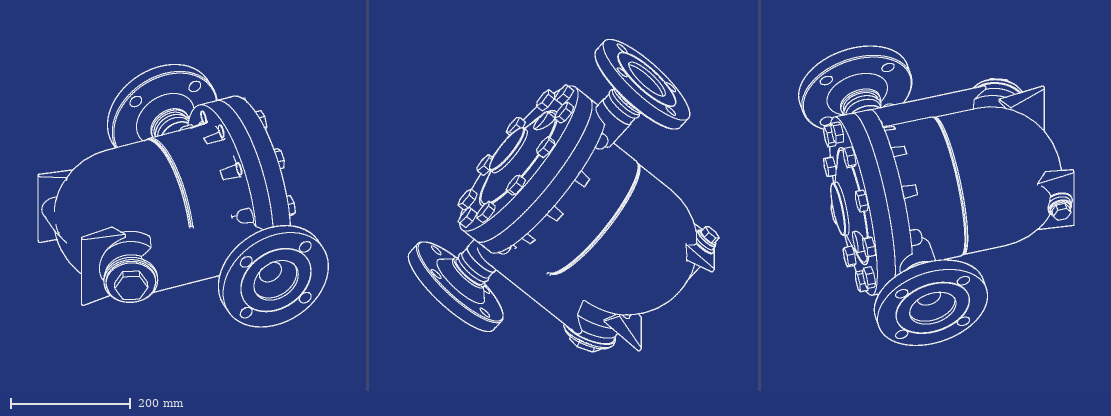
import cadquery as cq
import math


pipe_mid_x = 4.0
pipe_half_length = 252.0
pipe_r = 60.0 / 2
stub_r = 62.0 / 2
stub_end = 175.0
weld_r = 32.5
weld_width = 8.0
weld_end = 189.5
hub_small_r = 34.5
hub_large_r = 52.5
hub_length = 18.5
hub_land = 4.0
raised_face_r = 127.0 / 2
raised_face_height = 1.5
pipe_flange_r = 191.0 / 2
pipe_flange_thickness = 23.0
pipe_flange_chamfer = 2.0
mouth_r = 80.0 / 2
mouth_depth = 6.5
bore_r = 40.0 / 2
bore_cone_end = 24.5
bore_depth = 131.0
pipe_bolt_circle_d = 151.0
pipe_bolt_d = 21.0
pipe_bolt_count = 4

cover_top_y = 70.0
joint_y = 39.0
flange_bottom_y = 8.5
cover_flange_r = 305.0 / 2
lower_flange_r = 152.0
neck_fillet = 4.0
neck_r = 121.0
neck_bottom_y = -17.0
upper_body_r = 119.0
seam_chamfer = 2.5
seam_lip_r = 118.0
seam_y = -93.0
seam_width = 3.0
seam_r = 116.0
lower_body_r = 117.5
dome_centre_y = -169.0
dome_step_r = 200.0 / 2
dome_step_height = 1.0
dome_r = 96.0
dome_mid_r = 59.0
dome_mid_y = 85.0
cap_r = 90.0 / 2
cap_bottom_y = 89.5
cap_top_y = 97.5
cap_chamfer = 1.5
pad_x = -76.0
pad_r = 36.0 / 2
pad_top_y = 87.0

bolt_count = 10
bolt_pitch = 360 / bolt_count
bolt_circle_r = 130.5
bolt_head_corners = 35.5
bolt_head_height = 13.0
bolt_r = 21.0 / 2
bolt_tip = 1.5
relief_r = 14.5
relief_bottom_y = -20.5
boss_r = 13.0
boss_straight = 11.5
boss_length = 22.5
boss_tip_r = 3.5

riser_x = 168.0
riser_half_width = 38.5
riser_corner_r = 9.5
web_x = 141.0
corner_r = 4.5
riser_crown_y = -8.5
riser_bottom_y = -222.0

port_x = 168.5
port_y = -226.5
port_tilt = 20.0
port_root = 101.0
port_large_r = 52.5
port_taper_start = 45.0
port_taper_end = 21.0
port_small_r = 85.0 / 2
port_collar_r = 90.0 / 2
port_collar_start = 10.5
port_disc_start = 4.5
port_disc_r = 83.0 / 2
port_hex_flats = 48.0
port_hex_height = 14.5

drain_boss_r = 24.0
drain_y = dome_centre_y - lower_body_r + drain_boss_r
drain_boss_x = -84.5
drain_taper_x = -87.5
drain_collar_r = 40.0 / 2
drain_collar_x = -95.0
drain_washer_r = 17.5
drain_washer_x = -98.0
drain_hex_corners = 30.5
drain_hex_x = -109.5

foot_bottom_y = -290.5
foot_top_y = -227.0
foot_bottom_half = 69.5
foot_top_half = 60.5
foot_edge = 7.0
foot_round = 2.0
left_foot_x = -82.5
left_foot_root_x = -57.5
right_foot_x = 112.5
right_foot_root_x = 87.5
right_foot_top_y = -213.0


def rod(radius, y_low, y_high):
    """Cylinder on the Y axis between two heights."""
    return cq.Workplane("XZ", origin=(0, y_high, 0)).circle(radius).extrude(y_high - y_low)


def hex_rod_y(corners, y_low, y_high):
    """Hexagonal prism on the Y axis with a corner pointing along X."""
    return cq.Workplane("XZ", origin=(0, y_high, 0)).polygon(6, corners).extrude(y_high - y_low)


def hex_rod_x(corners, x_low, x_high):
    """Hexagonal prism on the X axis with a corner pointing along Y."""
    return cq.Workplane("YZ", origin=(x_low, 0, 0)).polygon(6, corners).extrude(x_high - x_low)


def turned_x(outline):
    """Revolve (x, radius) points around the X axis."""
    return cq.Workplane("XY").polyline(outline).close().revolve(360, (0, 0, 0), (1, 0, 0))


def on_bolt_circle(shape, angle):
    """Move a shape from the Y axis to the bolt circle; angle is from X towards Z."""
    return shape.translate((bolt_circle_r, 0, 0)).rotate((0, 0, 0), (0, 1, 0), -angle)


def make_body():
    """Turned body with lower flange, groove, round bottom, cover and cap."""
    fillet_mid = neck_fillet * (1 - math.sqrt(0.5))
    return (
        cq.Workplane("XY")
        .moveTo(0, dome_centre_y - lower_body_r)
        .threePointArc(
            (lower_body_r * math.sqrt(0.5), dome_centre_y - lower_body_r * math.sqrt(0.5)),
            (lower_body_r, dome_centre_y),
        )
        .lineTo(lower_body_r, seam_y - seam_width)
        .lineTo(seam_r, seam_y - seam_width)
        .lineTo(seam_r, seam_y)
        .lineTo(seam_lip_r, seam_y)
        .lineTo(upper_body_r, seam_y + seam_chamfer)
        .lineTo(upper_body_r, neck_bottom_y)
        .lineTo(neck_r, flange_bottom_y - neck_fillet)
        .threePointArc(
            (neck_r + fillet_mid, flange_bottom_y - fillet_mid),
            (neck_r + neck_fillet, flange_bottom_y),
        )
        .lineTo(lower_flange_r, flange_bottom_y)
        .lineTo(lower_flange_r, joint_y)
        .lineTo(cover_flange_r, joint_y)
        .lineTo(cover_flange_r, cover_top_y)
        .lineTo(dome_step_r, cover_top_y)
        .lineTo(dome_step_r, cover_top_y + dome_step_height)
        .lineTo(dome_r, cover_top_y + dome_step_height)
        .threePointArc((dome_mid_r, dome_mid_y), (cap_r, cap_bottom_y))
        .lineTo(cap_r, cap_top_y - cap_chamfer)
        .lineTo(cap_r - cap_chamfer, cap_top_y)
        .lineTo(0, cap_top_y)
        .close()
        .revolve(360, (0, 0, 0), (0, 1, 0))
    )


def make_boss():
    """Stud boss with a rounded end, hanging below the lower flange."""
    straight_y = flange_bottom_y - boss_straight
    tip_y = flange_bottom_y - boss_length
    bulge = math.sqrt(0.5)
    mid = (
        boss_tip_r + (boss_r - boss_tip_r) * bulge,
        straight_y - (boss_length - boss_straight) * bulge,
    )
    return (
        cq.Workplane("XY")
        .moveTo(0, joint_y)
        .lineTo(boss_r, joint_y)
        .lineTo(boss_r, straight_y)
        .threePointArc(mid, (boss_tip_r, tip_y))
        .lineTo(0, tip_y)
        .close()
        .revolve(360, (0, 0, 0), (0, 1, 0))
    )


def add_bolts(body):
    """Hex heads all around; rounded bosses beside the pipes, reliefs and bolt tips elsewhere."""
    head = hex_rod_y(bolt_head_corners, joint_y, cover_top_y + bolt_head_height)
    head = head.rotate((0, 0, 0), (0, 1, 0), 90)
    tip = rod(bolt_r, flange_bottom_y - bolt_tip, joint_y)
    relief = rod(relief_r, relief_bottom_y, flange_bottom_y)
    boss = make_boss()
    for index in range(bolt_count):
        angle = (index + 0.5) * bolt_pitch
        beside_pipe = abs(math.sin(math.radians(angle))) < 0.5
        body = body.union(on_bolt_circle(head, angle))
        if beside_pipe:
            body = body.union(on_bolt_circle(boss, angle))
        else:
            body = body.cut(on_bolt_circle(relief, angle))
            body = body.union(on_bolt_circle(tip, angle))
    return body


def make_pipe_arm():
    """Pipe with weld bead and welding-neck flange, pointing along +X from the run's middle."""
    face_x = pipe_half_length - raised_face_height
    back_x = face_x - pipe_flange_thickness
    hub_x = back_x - hub_length
    arm = turned_x([
        (0, 0),
        (0, stub_r),
        (stub_end, stub_r),
        (stub_end, pipe_r),
        (hub_x - hub_land, pipe_r),
        (hub_x - hub_land, hub_small_r),
        (hub_x, hub_small_r),
        (back_x, hub_large_r),
        (back_x, pipe_flange_r - pipe_flange_chamfer),
        (back_x + pipe_flange_chamfer, pipe_flange_r),
        (face_x, pipe_flange_r),
        (face_x, raised_face_r),
        (pipe_half_length, raised_face_r),
        (pipe_half_length, 0),
    ])
    weld = (
        cq.Workplane("XY")
        .moveTo(weld_end, 0)
        .lineTo(weld_end, pipe_r)
        .threePointArc((weld_end + weld_width / 2, weld_r), (weld_end + weld_width, pipe_r))
        .lineTo(weld_end + weld_width, 0)
        .close()
        .revolve(360, (0, 0, 0), (1, 0, 0))
    )
    return arm.union(weld)


def make_pipe_cuts():
    """Stepped bore and flange bolt holes of one pipe arm."""
    bore = turned_x([
        (pipe_half_length, 0),
        (pipe_half_length, mouth_r),
        (pipe_half_length - mouth_depth, mouth_r),
        (pipe_half_length - bore_cone_end, bore_r),
        (pipe_half_length - bore_depth, bore_r),
        (pipe_half_length - bore_depth, 0),
    ])
    holes = (
        cq.Workplane("YZ", origin=(pipe_half_length, 0, 0))
        .polarArray(pipe_bolt_circle_d / 2, 45, 360, pipe_bolt_count)
        .circle(pipe_bolt_d / 2)
        .extrude(-2 * pipe_flange_thickness)
    )
    return bore.union(holes)


def at_both_ends(shape):
    """One pipe-arm shape for each end of the run."""
    right = shape.translate((pipe_mid_x, 0, 0))
    left = shape.mirror("YZ").translate((pipe_mid_x, 0, 0))
    return [right, left]


def make_riser():
    """Duct from the strainer port up to the right pipe, with a round top and rounded outer edges."""
    return (
        cq.Workplane("YZ")
        .moveTo(riser_bottom_y, -riser_half_width)
        .lineTo(riser_crown_y, -riser_half_width)
        .threePointArc((riser_crown_y + riser_half_width, 0), (riser_crown_y, riser_half_width))
        .lineTo(riser_bottom_y, riser_half_width)
        .close()
        .extrude(riser_x)
        .faces(">X")
        .edges()
        .fillet(riser_corner_r)
    )


def make_web(body_r, y_low, y_high):
    """Stretch of body and riser whose shared corners are rounded."""
    slab = (
        cq.Workplane("XZ", origin=(0, y_high, 0))
        .center(web_x / 2, 0)
        .rect(web_x, 2 * riser_half_width)
        .extrude(y_high - y_low)
    )
    corner_x = math.sqrt(body_r**2 - riser_half_width**2)
    near_corner = cq.selectors.BoxSelector(
        (corner_x - corner_r, y_low, -body_r),
        (corner_x + corner_r, y_high, body_r),
    )
    web = rod(body_r, y_low, y_high).union(slab)
    return web.edges("|Y").edges(near_corner).fillet(corner_r)


def make_port():
    """Strainer port with collar, plug disc and hexagon, tilted downwards."""
    port = turned_x([
        (-port_root, 0),
        (-port_root, port_large_r),
        (-port_taper_start, port_large_r),
        (-port_taper_end, port_small_r),
        (-port_collar_start, port_small_r),
        (-port_collar_start, port_collar_r),
        (-port_disc_start, port_collar_r),
        (-port_disc_start, port_disc_r),
        (0, port_disc_r),
        (0, 0),
    ])
    corners = port_hex_flats / math.cos(math.radians(30))
    port = port.union(hex_rod_x(corners, -port_disc_start, port_hex_height))
    return port.rotate((0, 0, 0), (0, 0, 1), -port_tilt).translate((port_x, port_y, 0))


def make_drain():
    """Drain boss running out into the round bottom, with collar and hexagon."""
    drain = turned_x([
        (0, 0),
        (0, drain_boss_r),
        (drain_boss_x, drain_boss_r),
        (drain_taper_x, drain_collar_r),
        (drain_collar_x, drain_collar_r),
        (drain_collar_x, drain_washer_r),
        (drain_washer_x, drain_washer_r),
        (drain_washer_x, 0),
    ])
    drain = drain.union(hex_rod_x(drain_hex_corners, drain_hex_x, drain_boss_x))
    return drain.translate((0, drain_y, 0))


def make_foot(profile, top_y):
    """Plate with the given XY profile, its Z width growing towards the floor."""
    flare = (foot_bottom_half - foot_top_half) / (foot_top_y - foot_bottom_y)
    top_half = foot_bottom_half - flare * (top_y - foot_bottom_y)
    slab = cq.Workplane("XY").polyline(profile).close().extrude(foot_bottom_half, both=True)
    trapezoid = (
        cq.Workplane("YZ")
        .polyline([
            (foot_bottom_y, -foot_bottom_half),
            (foot_bottom_y, foot_bottom_half),
            (top_y, top_half),
            (top_y, -top_half),
        ])
        .close()
        .extrude(2 * right_foot_x, both=True)
    )
    return slab.intersect(trapezoid).faces("<Y").edges("|Z").fillet(foot_round)


left_foot = make_foot(
    [
        (left_foot_x, foot_top_y),
        (left_foot_x, foot_bottom_y),
        (left_foot_x + foot_edge, foot_bottom_y),
        (left_foot_root_x, foot_top_y),
    ],
    foot_top_y,
)
right_foot = make_foot(
    [
        (right_foot_x, right_foot_top_y),
        (right_foot_x, foot_bottom_y),
        (right_foot_x - foot_edge, foot_bottom_y),
        (right_foot_root_x, foot_top_y),
    ],
    right_foot_top_y,
)

result = add_bolts(make_body())
result = result.union(rod(pad_r, joint_y, pad_top_y).translate((pad_x, 0, 0)))
for arm in at_both_ends(make_pipe_arm()):
    result = result.union(arm)
for part in (
    make_riser(),
    make_web(upper_body_r, seam_y + seam_chamfer, relief_bottom_y),
    make_web(lower_body_r, dome_centre_y, seam_y - seam_width),
    make_port(),
    make_drain(),
    left_foot,
    right_foot,
):
    result = result.union(part)
for cutter in at_both_ends(make_pipe_cuts()):
    result = result.cut(cutter)